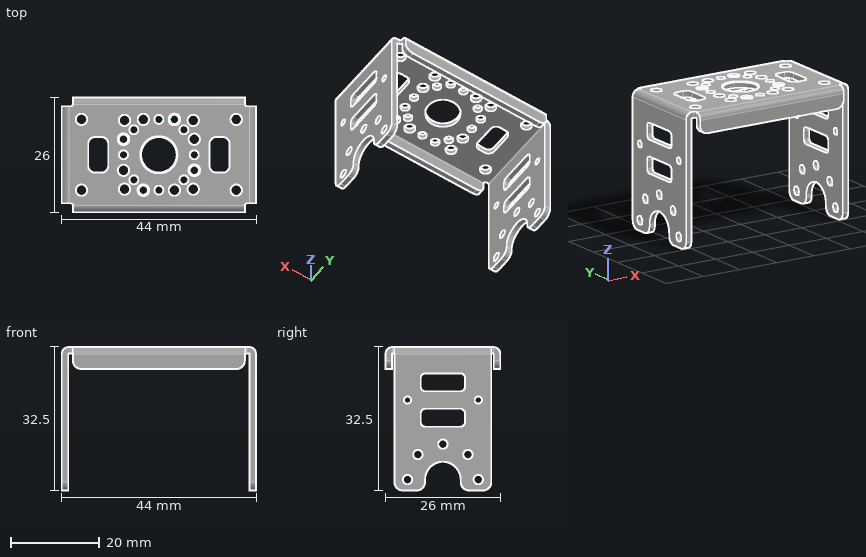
import cadquery as cq
import math

LENGTH = 44.0
WIDTH = 26.0
HEIGHT = 32.5

SHEET = 1.5
BEND_RADIUS = 1.6
INNER_BEND_RADIUS = BEND_RADIUS - SHEET

LEG_WIDTH = 22.0
LEG_CORNER = 2.0
LIP_LENGTH = 39.0
LIP_DEPTH = 5.0
LIP_CORNER = 2.0

PLATE_LENGTH = LENGTH - 2 * BEND_RADIUS
PLATE_WIDTH = WIDTH - 2 * BEND_RADIUS
RELIEF_RADIUS = (PLATE_WIDTH - LEG_WIDTH) / 2

SMALL_HOLE = 2.0
LARGE_HOLE = 2.5
SUNK_HOLE = 2.05
SUNK_CHAMFER = 0.3
BORE = 8.0
BORE_CHAMFER = 0.2
LEG_HOLE = 2.05
LEG_PILOT_HOLE = 1.6

BOLT_RADIUS = 8.0
OUTER_BOLT_RADIUS = 11.0
PAIR_OFFSET = 3.5
CORNER_HOLE_X = 17.5

PLATE_SLOT_X = 13.75
PLATE_SLOT_LENGTH = 8.0
PLATE_SLOT_WIDTH = 4.5
PLATE_SLOT_CORNER = 1.5
LEG_SLOT_LENGTH = 10.0
LEG_SLOT_WIDTH = 4.0
LEG_SLOT_CORNER = 1.0

LEG_SLOT_HEIGHTS = (-8.0, -16.0)
LEG_PILOT_HEIGHT = -12.0
MOUTH_HEIGHT = -30.0


def box(length, width, top, bottom):
    """Box centred on X and Y between two heights."""
    return cq.Workplane("XY").workplane(offset=bottom).rect(length, width).extrude(top - bottom)


def folded_channel(length, width, depth, bend_axis):
    """U-shaped sheet whose two walls hang from a flat web along the bend axis ("X" or "Y")."""
    bend_edges = f"|{bend_axis} and >Z"
    wall_gap = 2 * SHEET
    outer = box(length, width, 0, -depth).edges(bend_edges).fillet(BEND_RADIUS)
    if bend_axis == "Y":
        inner = box(length - wall_gap, width, -SHEET, -depth)
    else:
        inner = box(length, width - wall_gap, -SHEET, -depth)
    return outer.cut(inner.edges(bend_edges).fillet(INNER_BEND_RADIUS))


def circle_points(radius, angles):
    """Points on a circle about the origin at the given angles in degrees."""
    return [(radius * math.cos(math.radians(a)), radius * math.sin(math.radians(a))) for a in angles]


def mirrored_points(x, y):
    """The four points symmetric about both axes."""
    return [(x, y), (-x, y), (-x, -y), (x, -y)]


def quarter_turns(x, y):
    """The point repeated every 90 degrees about the origin."""
    return [(x, y), (-y, x), (-x, -y), (y, -x)]


def plate_holes(points, diameter, chamfer=0):
    """Cutters through the plate, with an optional 45 degree countersink at the top face."""
    cutter = cq.Workplane("XY").pushPoints(points).circle(diameter / 2).extrude(-SHEET)
    if chamfer:
        mouth = cq.Workplane("XY").pushPoints(points).circle(diameter / 2 + chamfer)
        cutter = cutter.union(mouth.extrude(-chamfer, taper=45))
    return cutter


def leg_holes(points, diameter):
    """Cutters through both legs at (y, z) points."""
    return cq.Workplane("YZ").pushPoints(points).circle(diameter / 2).extrude(LENGTH / 2, both=True)


def make_plate():
    """Flat top between the bends, with a concave relief arc at each corner."""
    plate = box(PLATE_LENGTH, LEG_WIDTH, 0, -SHEET).union(box(LIP_LENGTH, PLATE_WIDTH, 0, -SHEET))
    corner_length = LIP_LENGTH + 2 * RELIEF_RADIUS
    corners = box(corner_length, PLATE_WIDTH, 0, -SHEET)
    reliefs = plate_holes(mirrored_points(corner_length / 2, PLATE_WIDTH / 2), 2 * RELIEF_RADIUS)
    return plate.union(corners.cut(reliefs))


def make_legs():
    """End legs with rounded feet and an open semicircular mouth at the bottom."""
    legs = folded_channel(LENGTH, LEG_WIDTH, HEIGHT, "Y")
    mouth = leg_holes([(0, MOUTH_HEIGHT)], BORE)
    mouth = mouth.union(box(LENGTH, BORE, MOUTH_HEIGHT, -HEIGHT))
    return legs.cut(mouth).edges("|X and <Z").fillet(LEG_CORNER)


def make_lips():
    """Short side lips with rounded lower corners."""
    lips = folded_channel(LIP_LENGTH, WIDTH, LIP_DEPTH, "X")
    return lips.edges("|Y and <Z").fillet(LIP_CORNER)


def cut_plate_features(body):
    """Bore, hole rings, corner holes and slots of the plate."""
    body = body.cut(plate_holes([(0, 0)], BORE, BORE_CHAMFER))
    body = body.cut(plate_holes(circle_points(BOLT_RADIUS, range(0, 360, 45)), SMALL_HOLE))
    body = body.cut(plate_holes(circle_points(OUTER_BOLT_RADIUS, range(45, 360, 90)), LARGE_HOLE))
    body = body.cut(plate_holes(quarter_turns(BOLT_RADIUS, PAIR_OFFSET), LARGE_HOLE))
    body = body.cut(plate_holes(quarter_turns(BOLT_RADIUS, -PAIR_OFFSET), SUNK_HOLE, SUNK_CHAMFER))
    body = body.cut(plate_holes(mirrored_points(CORNER_HOLE_X, BOLT_RADIUS), LARGE_HOLE))
    slot = box(PLATE_SLOT_WIDTH, PLATE_SLOT_LENGTH, 0, -SHEET).edges("|Z").fillet(PLATE_SLOT_CORNER)
    for x in (-PLATE_SLOT_X, PLATE_SLOT_X):
        body = body.cut(slot.translate((x, 0, 0)))
    return body


def cut_leg_features(body):
    """Slots, pilot holes and the arc of holes around the mouth of each leg."""
    half_slot = LEG_SLOT_WIDTH / 2
    slot = box(LENGTH, LEG_SLOT_LENGTH, half_slot, -half_slot).edges("|X").fillet(LEG_SLOT_CORNER)
    for height in LEG_SLOT_HEIGHTS:
        body = body.cut(slot.translate((0, 0, height)))

    arc = circle_points(BOLT_RADIUS, range(0, 181, 45))
    body = body.cut(leg_holes([(y, z + MOUTH_HEIGHT) for y, z in arc], LEG_HOLE))

    pilot_points = [(y, LEG_PILOT_HEIGHT) for y in (-BOLT_RADIUS, BOLT_RADIUS)]
    return body.cut(leg_holes(pilot_points, LEG_PILOT_HOLE))


bracket = make_plate().union(make_legs()).union(make_lips())
result = cut_leg_features(cut_plate_features(bracket))